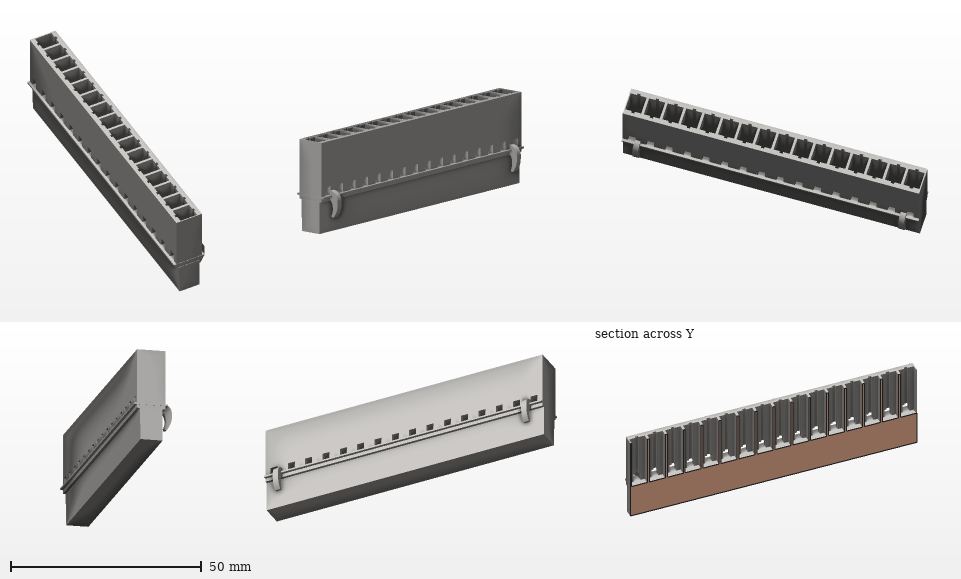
import cadquery as cq

length = 81.3
height = 24.55
cell_count = 16
pitch = length / cell_count

end_setback = 0.1
shell_depth = 7.6
step_z = 8.5
foot_setback = 0.7
foot_draft = 0.2

rail_reach = 0.7
rail_bottom = 9.5
rail_top = 10.0

cell_width = 4.4
cell_depth = 4.9
groove_width = 0.9
groove_depth = 0.5
cell_floor = rail_top

window_width = 2.0
window_top = 12.35

hook_width = 1.55
hook_inset = 4.2
hook_reach = 2.6
hook_top = 11.2
hook_flank_z = 7.7
hook_tip_z = 4.1
hook_tip_outer = 1.2
hook_tip_inner = 0.5
hook_tip_flat = 0.6
hook_tip_height = 0.5
hook_hollow = 1.0
hook_hollow_z = 6.3
hook_root_gap = 0.3


def block(x_min, x_max, y_min, y_max, z_min, z_max):
    """Axis-aligned box given by its limits."""
    box = cq.Workplane("XY").box(x_max - x_min, y_max - y_min, z_max - z_min, centered=False)
    return box.translate((x_min, y_min, z_min))


def make_shell():
    return block(0, length - end_setback, 0, shell_depth, step_z, height)


def make_foot():
    """Foot under the shell, with a slightly drafted front face."""
    outline = [
        (foot_setback + foot_draft, 0),
        (shell_depth - foot_setback, 0),
        (shell_depth - foot_setback, step_z),
        (foot_setback, step_z),
    ]
    return cq.Workplane("YZ").polyline(outline).close().extrude(length)


def make_rails():
    return block(0, length, -rail_reach, shell_depth + rail_reach, rail_bottom, rail_top)


def make_cell(x_center):
    """Everything removed for one cell: pocket, key grooves and windows."""
    y_center = shell_depth / 2

    def slot(width, depth, z_top):
        return block(
            x_center - width / 2, x_center + width / 2,
            y_center - depth / 2, y_center + depth / 2,
            cell_floor, z_top,
        )

    pocket = slot(cell_width, cell_depth, height)
    grooves = slot(groove_width, cell_depth + 2 * groove_depth, height)
    windows = slot(window_width, shell_depth, window_top)
    return pocket.union(grooves).union(windows)


def make_hook(x_center):
    """Claw that leaves the rear face and curls downwards."""
    rear = shell_depth
    flank = rear + hook_reach
    profile = (
        cq.Workplane("YZ", origin=(x_center - hook_width / 2, 0, 0))
        .moveTo(rear, step_z)
        .lineTo(rear, hook_top)
        .radiusArc((flank, hook_top - hook_reach), hook_reach)
        .lineTo(flank, hook_flank_z)
        .tangentArcPoint((rear + hook_tip_outer, hook_tip_z), relative=False)
        .lineTo(rear + hook_tip_outer - hook_tip_flat, hook_tip_z)
        .lineTo(rear + hook_tip_inner, hook_tip_z + hook_tip_height)
        .threePointArc((rear + hook_hollow, hook_hollow_z), (rear + hook_root_gap, step_z))
        .close()
    )
    return profile.extrude(hook_width)


result = make_shell().union(make_foot()).union(make_rails())

for index in range(cell_count):
    result = result.cut(make_cell((index + 0.5) * pitch))

for hook_center in (hook_inset, length - hook_inset):
    result = result.union(make_hook(hook_center))